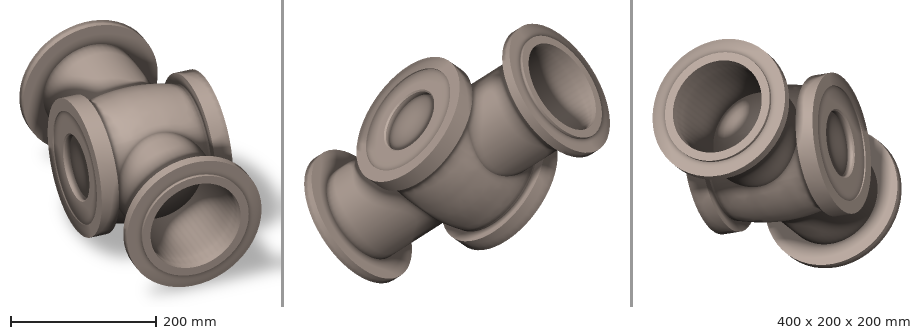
import cadquery as cq
import math

run_length = 400
pipe_diameter = 140
bore_diameter = 134.0
pipe_flange_diameter = 200
pipe_flange_thickness = 14.0
raised_face_diameter = 158.0
raised_face_height = 5.0

body_mid_diameter = 186.5
barrel_end_diameter = 170.0
barrel_half_length = 63.0
taper_half_length = 69.0
neck_diameter = 166.0
side_flange_diameter = 196.5
side_face_distance = 97.5
side_flange_thickness = 25.5
side_flange_back = side_face_distance - side_flange_thickness

ball_diameter = body_mid_diameter

insert_diameter = 160.5
insert_recess_depth = 2.0
window_diameter = 92
window_depth = 10.0
window_chamfer = 2.0


def x_cylinder(diameter, length):
    """Cylinder on the X axis, centred on the origin."""
    return cq.Workplane("YZ").circle(diameter / 2).extrude(length / 2, both=True)


def make_body():
    """Solid barrel revolved about Y, tapering at each end to a straight neck."""
    mid_radius = body_mid_diameter / 2
    barrel_end_radius = barrel_end_diameter / 2
    neck_radius = neck_diameter / 2
    return (
        cq.Workplane("XY")
        .moveTo(0, -side_flange_back)
        .lineTo(neck_radius, -side_flange_back)
        .lineTo(neck_radius, -taper_half_length)
        .lineTo(barrel_end_radius, -barrel_half_length)
        .threePointArc((mid_radius, 0), (barrel_end_radius, barrel_half_length))
        .lineTo(neck_radius, taper_half_length)
        .lineTo(neck_radius, side_flange_back)
        .lineTo(0, side_flange_back)
        .close()
        .revolve(360, (0, 0), (0, 1))
    )


def make_pipe_run():
    """Pipe with a raised-face flange at each end, solid until it is bored."""
    flange_outer_span = run_length - 2 * raised_face_height
    flange_inner_span = flange_outer_span - 2 * pipe_flange_thickness
    flanges = x_cylinder(pipe_flange_diameter, flange_outer_span).cut(
        x_cylinder(pipe_flange_diameter, flange_inner_span)
    )
    pipe = x_cylinder(pipe_diameter, run_length)
    raised_faces = x_cylinder(raised_face_diameter, run_length).cut(
        x_cylinder(raised_face_diameter, flange_outer_span)
    )
    return pipe.union(flanges).union(raised_faces)


def make_side_flange():
    """Flange on the +Y end with its recessed face and chamfered window."""
    insert_face = side_face_distance - insert_recess_depth
    window_floor = insert_face - window_depth
    window_radius = window_diameter / 2
    return (
        cq.Workplane("XY")
        .moveTo(0, side_flange_back)
        .lineTo(side_flange_diameter / 2, side_flange_back)
        .lineTo(side_flange_diameter / 2, side_face_distance)
        .lineTo(insert_diameter / 2, side_face_distance)
        .lineTo(insert_diameter / 2, insert_face)
        .lineTo(window_radius + window_chamfer, insert_face)
        .lineTo(window_radius, insert_face - window_chamfer)
        .lineTo(window_radius, window_floor)
        .lineTo(0, window_floor)
        .close()
        .revolve(360, (0, 0), (0, 1))
    )


def make_bore():
    """Cutter for the +X bore, with an inner end hollowed to leave a domed ball."""
    ball_radius = ball_diameter / 2
    bore_radius = bore_diameter / 2
    rim_angle = math.asin(bore_radius / ball_radius)
    rim_x = ball_radius * math.cos(rim_angle)
    arc_middle = (
        ball_radius * math.cos(rim_angle / 2),
        ball_radius * math.sin(rim_angle / 2),
    )
    return (
        cq.Workplane("XY")
        .moveTo(ball_radius, 0)
        .threePointArc(arc_middle, (rim_x, bore_radius))
        .lineTo(run_length / 2, bore_radius)
        .lineTo(run_length / 2, 0)
        .close()
        .revolve(360, (0, 0), (1, 0))
    )


side_flange = make_side_flange()
bore = make_bore()
result = (
    make_pipe_run()
    .union(make_body())
    .union(side_flange)
    .union(side_flange.mirror("XZ"))
    .cut(bore)
    .cut(bore.mirror("YZ"))
)